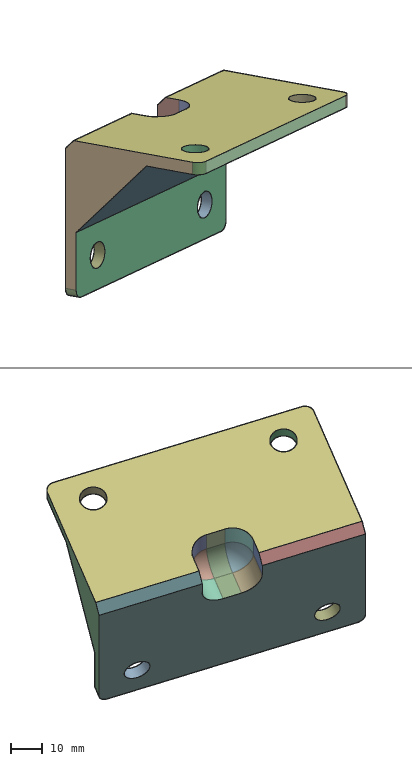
import cadquery as cq

depth = 50.0
length = 89.0
height = 52.0

plate_thickness = 4.0
brace_drop = 30.0
brace_reach = 30.0
ridge_chamfer = 3.0
corner_radius = 3.0

hole_diameter = 8.5
hole_spacing = 63.55
hole_from_back = 40.05
hole_from_top = 40.7

pocket_width = 20.0
pocket_depth = 15.0
pocket_radius = 6.9


def bracket_body():
    """Angle bracket with a solid sloped brace, top face at Z = 0 and back face at X = 0."""
    profile = [
        (0, -ridge_chamfer),
        (ridge_chamfer, 0),
        (depth, 0),
        (depth, -plate_thickness),
        (brace_reach, -plate_thickness),
        (plate_thickness, -brace_drop),
        (plate_thickness, -height),
        (0, -height),
    ]
    body = cq.Workplane("XZ").polyline(profile).close().extrude(length / 2, both=True)
    body = body.faces(">X").edges("|Z").fillet(corner_radius)
    return body.faces("<Z").edges("|X").fillet(corner_radius)


def ridge_pocket():
    """Rounded block that cuts the pocket in the middle of the ridge."""
    overshoot = 2 * pocket_radius
    side = pocket_depth + overshoot
    center = (pocket_depth - overshoot) / 2
    block = cq.Workplane("XY").box(side, pocket_width, side).edges().fillet(pocket_radius)
    return block.translate((center, 0, -center))


def mounting_holes():
    """Two through holes in each plate."""
    half_spacing = hole_spacing / 2
    top_holes = (
        cq.Workplane("XY")
        .pushPoints([(hole_from_back, -half_spacing), (hole_from_back, half_spacing)])
        .circle(hole_diameter / 2)
        .extrude(-plate_thickness)
    )
    upright_holes = (
        cq.Workplane("YZ")
        .pushPoints([(-half_spacing, -hole_from_top), (half_spacing, -hole_from_top)])
        .circle(hole_diameter / 2)
        .extrude(plate_thickness)
    )
    return top_holes.union(upright_holes)


result = bracket_body().cut(ridge_pocket()).cut(mounting_holes())